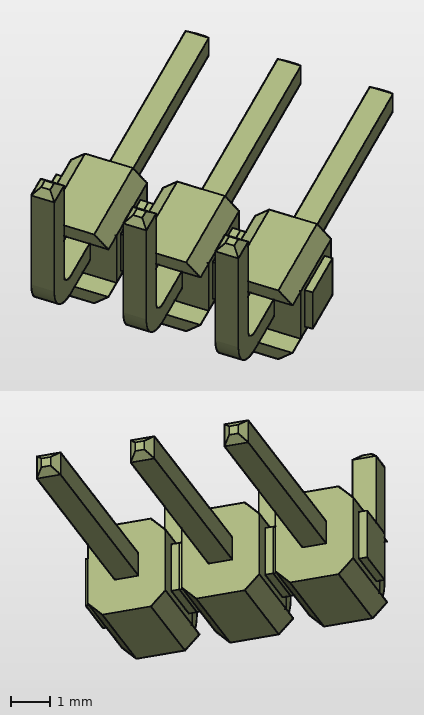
import cadquery as cq

UNIT_COUNT = 3
ROW_LENGTH = 7.62
PITCH = ROW_LENGTH / UNIT_COUNT

BLOCK_WIDTH = 2.1
BLOCK_DEPTH = 2.54
BLOCK_HEIGHT = 2.54
FLANGE_THICKNESS = 0.39
FLANGE_OVERHANG = 0.54

TONGUE_DEPTH = 1.31
TONGUE_HEIGHT = 1.35
TONGUE_SETBACK = 0.44

PIN_SIZE = 0.64
BEND_INNER_RADIUS = 0.48
TIP_TAPER = 0.2
OVERALL_LENGTH = 10.36
OVERALL_HEIGHT = 5.54
PIN_FRONT_REACH = 1.82

BLOCK_BOTTOM = -BLOCK_HEIGHT / 2
PIN_FRONT = -PIN_FRONT_REACH
PIN_REAR = PIN_FRONT + OVERALL_LENGTH
PIN_TOP = BLOCK_BOTTOM + OVERALL_HEIGHT


def box_between(width, depth, height, y_start):
    """Box centred on X and Z that runs back from y_start."""
    return cq.Workplane("XY").box(width, depth, height).translate((0, y_start + depth / 2, 0))


def make_insulator():
    """Octagonal block, cut back between its flanges, with the side tongue."""
    block = (
        box_between(BLOCK_WIDTH, BLOCK_DEPTH, BLOCK_HEIGHT, 0)
        .edges("|Y")
        .chamfer(FLANGE_THICKNESS)
    )
    front_recess = box_between(BLOCK_WIDTH, FLANGE_OVERHANG, BLOCK_HEIGHT - 2 * FLANGE_THICKNESS, 0)
    tongue_rear = BLOCK_DEPTH - TONGUE_SETBACK
    tongue = box_between(PITCH, TONGUE_DEPTH, TONGUE_HEIGHT, tongue_rear - TONGUE_DEPTH)
    return block.cut(front_recess).union(tongue)


def make_pin():
    """Square wire that runs forward along Y, bends upward and tapers at both ends."""
    half = PIN_SIZE / 2
    bend_outer_radius = BEND_INNER_RADIUS + PIN_SIZE
    upright_back = PIN_FRONT + PIN_SIZE
    bend_top = half + BEND_INNER_RADIUS
    bend_rear = upright_back + BEND_INNER_RADIUS
    return (
        cq.Workplane("YZ")
        .moveTo(PIN_REAR, -half)
        .lineTo(bend_rear, -half)
        .radiusArc((PIN_FRONT, bend_top), bend_outer_radius)
        .lineTo(PIN_FRONT, PIN_TOP)
        .lineTo(upright_back, PIN_TOP)
        .lineTo(upright_back, bend_top)
        .radiusArc((bend_rear, half), -BEND_INNER_RADIUS)
        .lineTo(PIN_REAR, half)
        .close()
        .extrude(half, both=True)
        .faces(">Y or >Z")
        .chamfer(TIP_TAPER)
    )


def make_header_unit():
    """One header unit: the insulator and its pin joined as a single solid."""
    return make_insulator().union(make_pin())


header_unit = make_header_unit()
header_units = []
for index in range(UNIT_COUNT):
    x_position = (index - (UNIT_COUNT - 1) / 2) * PITCH
    header_units.append(header_unit.translate((x_position, 0, 0)).val())

result = cq.Compound.makeCompound(header_units)